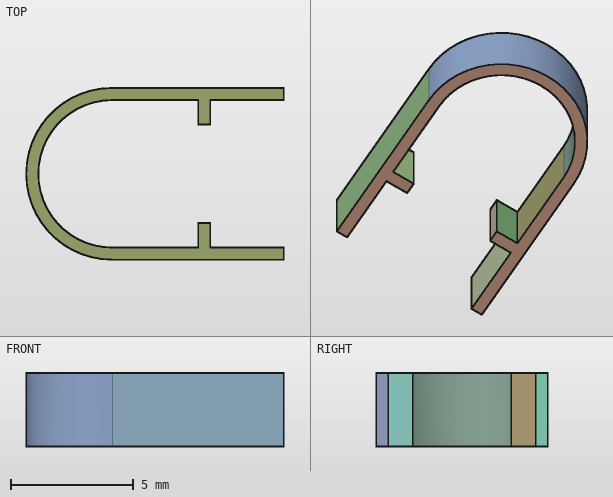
import cadquery as cq

length = 10.5
width = 7.0
height = 3.0
wall = 0.5
tab_reach = 1.0
tab_start = 7.0

outer_radius = width / 2
inner_radius = outer_radius - wall
arm_length = length - outer_radius


def u_profile(radius):
    """Solid U-shaped block: a half-round end with straight sides up to the arm tips."""
    return (
        cq.Workplane("XY")
        .moveTo(arm_length, radius)
        .lineTo(0, radius)
        .threePointArc((-radius, 0), (0, -radius))
        .lineTo(arm_length, -radius)
        .close()
        .extrude(height)
    )


def tab(side):
    """Full-height tab pointing inward from the arm on the given Y side (+1 or -1)."""
    tab_depth = wall + tab_reach
    tab_x = tab_start - outer_radius + wall / 2
    tab_y = side * (outer_radius - tab_depth / 2)
    return (
        cq.Workplane("XY")
        .center(tab_x, tab_y)
        .rect(wall, tab_depth)
        .extrude(height)
    )


result = u_profile(outer_radius).cut(u_profile(inner_radius))
for side in (1, -1):
    result = result.union(tab(side))